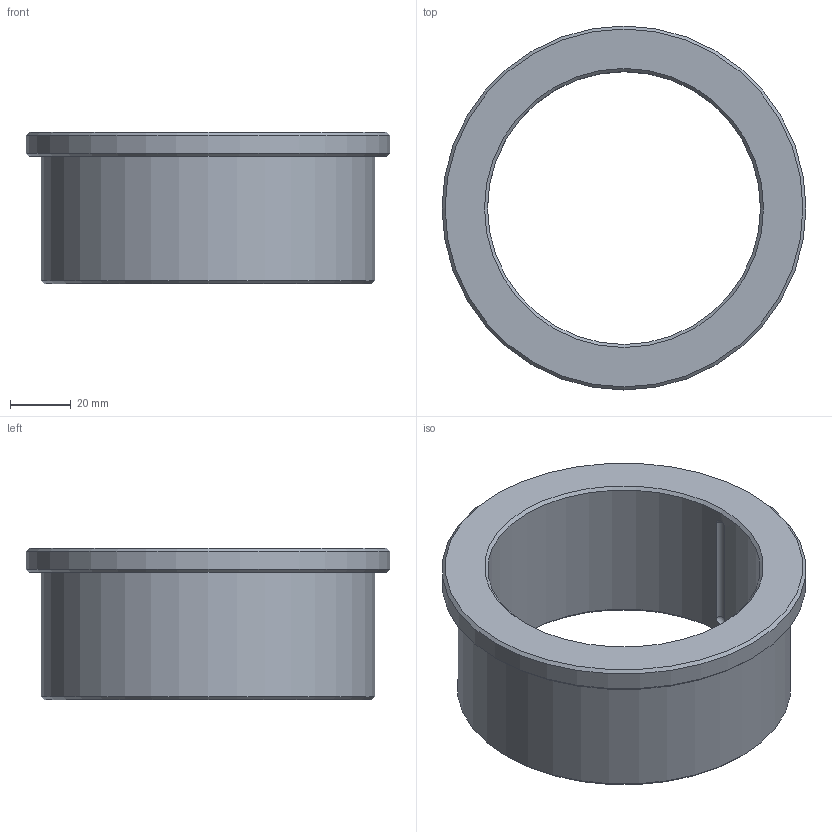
import cadquery as cq

height = 50.0
flange_diameter = 120.0
flange_thickness = 8.0
barrel_diameter = 110.0
bore_diameter = 90.0
edge_chamfer = 1.0

groove_radius = 2.0
groove_depth = 1.6
groove_end_margin = 4.0

bore_radius = bore_diameter / 2
barrel_radius = barrel_diameter / 2
flange_radius = flange_diameter / 2
flange_bottom = height - flange_thickness
groove_axis_x = bore_radius + groove_depth - groove_radius
groove_low_center_z = groove_end_margin + groove_radius
groove_high_center_z = height - groove_low_center_z


def make_bushing():
    """Revolve the wall section, with its chamfered edges, about Z."""
    c = edge_chamfer
    section = (
        cq.Workplane("XZ")
        .moveTo(bore_radius + c, 0)
        .lineTo(barrel_radius - c, 0)
        .lineTo(barrel_radius, c)
        .lineTo(barrel_radius, flange_bottom)
        .lineTo(flange_radius - c, flange_bottom)
        .lineTo(flange_radius, flange_bottom + c)
        .lineTo(flange_radius, height - c)
        .lineTo(flange_radius - c, height)
        .lineTo(bore_radius + c, height)
        .lineTo(bore_radius, height - c)
        .lineTo(bore_radius, c)
        .close()
    )
    return section.revolve(360, (0, 0, 0), (0, 1, 0))


def make_groove():
    """Ball-ended bar, parallel to Z, that cuts the groove to its depth."""
    bar = (
        cq.Workplane("XY", origin=(groove_axis_x, 0, groove_low_center_z))
        .circle(groove_radius)
        .extrude(groove_high_center_z - groove_low_center_z)
    )
    for center_z in (groove_low_center_z, groove_high_center_z):
        ball = cq.Workplane("XY", origin=(groove_axis_x, 0, center_z)).sphere(groove_radius)
        bar = bar.union(ball)
    return bar


result = make_bushing().cut(make_groove())